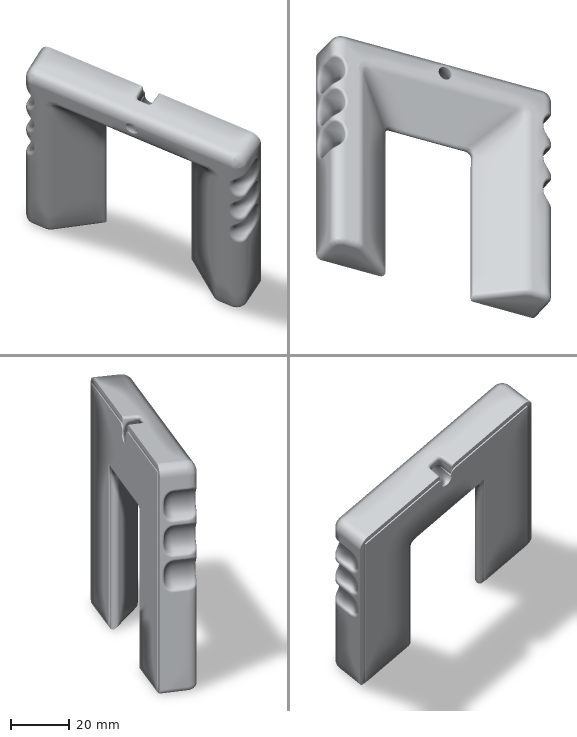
import cadquery as cq
import math

WIDTH = 85.0
HEIGHT = 85.0
TOTAL_DEPTH = 14.5
PAD_THICKNESS = 0.4
DEPTH = TOTAL_DEPTH - PAD_THICKNESS
DRAFT = 0.4

OUTER_RADIUS = 4.0
VALLEY_RADIUS = 4.5
LEG_END_RADIUS = 1.95
BACK_RIM_RADIUS = 1.5

BEVEL_FRONT_INSET = 10.4
BEVEL_BACK_INSET = 28.9
BEVEL_TAPER = math.degrees(math.atan2(BEVEL_BACK_INSET - BEVEL_FRONT_INSET, DEPTH))

HOLE_DIAMETER = 4.9
HOLE_Z = HEIGHT - 5.6

SLOT_WIDTH = 5.95
SLOT_DEPTH = 5.5
SLOT_TAPER = 3.0
SLOT_FLOOR_RADIUS = 1.1
SLOT_RIM_RADIUS = 1.0
SLOT_OVERRUN = 8.5

GRIP_RADIUS = 5.8
GRIP_DEPTH = 4.25
GRIP_COUNT = 3
GRIP_PITCH = 13.0
TOP_GRIP_Z = HEIGHT - 15.0
GRIP_END_Y = 12.5
GRIP_END_RADIUS = 3.5
GRIP_RIM_RADIUS = 0.9

PAD_INSET = 2.4
PAD_BOTTOM = 0.6
PAD_OPENING_INSET = 23.8
PAD_MOUTH_RADIUS = 1.95

SIDES = (-1, 1)


def section(y):
    """Sketch plane at depth y, with local x and y along X and Z; positive extrusion goes toward the front."""
    return cq.Workplane("XZ", origin=(0, y, 0))


def rectangle(y, half_width, bottom, top):
    return section(y).center(0, (bottom + top) / 2).rect(2 * half_width, top - bottom)


def hole_tool():
    return section(TOTAL_DEPTH).center(0, HOLE_Z).circle(HOLE_DIAMETER / 2).extrude(TOTAL_DEPTH)



def outer_block():
    block = rectangle(DEPTH, WIDTH / 2, 0, HEIGHT).extrude(DEPTH, taper=DRAFT)
    return block.faces(">Z").edges("<X or >X").fillet(OUTER_RADIUS)


def cut_opening(block):
    half_width = WIDTH / 2 - BEVEL_FRONT_INSET
    top = HEIGHT - BEVEL_FRONT_INSET
    below_legs = -HEIGHT / 2
    opening = rectangle(0, half_width, below_legs, top).extrude(-DEPTH, taper=BEVEL_TAPER)
    return block.cut(opening)


def round_edges(frame):
    mid_inset = (BEVEL_FRONT_INSET + BEVEL_BACK_INSET) / 2
    for side in SIDES:
        mid_valley = (side * (WIDTH / 2 - mid_inset), DEPTH / 2, HEIGHT - mid_inset)
        valley = frame.edges(cq.selectors.NearestToPointSelector(mid_valley))
        frame = valley.fillet(VALLEY_RADIUS)
    frame = frame.faces("<Y").edges("not <Z").fillet(OUTER_RADIUS)
    return round_back_rim(frame).intersect(round_leg_ends(frame))


def round_back_rim(frame):
    reach = WIDTH / 2 - BEVEL_FRONT_INSET
    rim_box = cq.selectors.BoxSelector(
        (-reach, 0, BACK_RIM_RADIUS), (reach, TOTAL_DEPTH, HEIGHT - BEVEL_FRONT_INSET)
    )
    return frame.faces(">Y").edges(rim_box).fillet(BACK_RIM_RADIUS)


def round_leg_ends(frame):
    return frame.faces("<Z").edges("not >Y").fillet(LEG_END_RADIUS)


def grip_tool(side, z):
    axis_x = side * (WIDTH / 2 - GRIP_DEPTH + GRIP_RADIUS)
    tool = section(GRIP_END_Y).center(axis_x, z).circle(GRIP_RADIUS).extrude(TOTAL_DEPTH)
    return tool.faces(">Y").edges().fillet(GRIP_END_RADIUS)


def cut_grip(housing, side, z):
    housing = housing.cut(grip_tool(side, z))
    scoop_box = cq.selectors.BoxSelector(
        (side * (WIDTH / 2 - 2 * GRIP_DEPTH), 0, z - GRIP_RADIUS),
        (side * WIDTH / 2, DEPTH, z + GRIP_RADIUS),
    )
    rim = housing.faces(scoop_box).edges("(not %CIRCLE) or <Y")
    return rim.fillet(GRIP_RIM_RADIUS)


def cut_slot(housing):
    above_top = HEIGHT + SLOT_OVERRUN
    slot = rectangle(DEPTH, SLOT_WIDTH / 2, HOLE_Z, above_top).extrude(SLOT_DEPTH, taper=SLOT_TAPER)
    slot = slot.faces("<Y").edges("|Z").fillet(SLOT_FLOOR_RADIUS)
    housing = housing.cut(slot)
    rim_box = cq.selectors.BoxSelector(
        (-SLOT_WIDTH, DEPTH - 2 * SLOT_DEPTH, HOLE_Z), (SLOT_WIDTH, DEPTH - SLOT_RIM_RADIUS, above_top)
    )
    top = cq.selectors.NearestToPointSelector((0, DEPTH / 2, HEIGHT))
    return housing.faces(top).edges(rim_box).fillet(SLOT_RIM_RADIUS)


def build_housing():
    housing = round_edges(cut_opening(outer_block()))
    for side in SIDES:
        for index in range(GRIP_COUNT):
            housing = cut_grip(housing, side, TOP_GRIP_Z - index * GRIP_PITCH)
    return cut_slot(housing).cut(hole_tool())



def build_pad():
    pad = rectangle(TOTAL_DEPTH, WIDTH / 2 - PAD_INSET, PAD_BOTTOM, HEIGHT - PAD_INSET).extrude(PAD_THICKNESS)
    opening = rectangle(TOTAL_DEPTH, WIDTH / 2 - PAD_OPENING_INSET, 0, HEIGHT - PAD_OPENING_INSET)
    pad = pad.cut(opening.extrude(PAD_THICKNESS))
    notch = rectangle(TOTAL_DEPTH, HOLE_DIAMETER / 2, HOLE_Z, HEIGHT).extrude(PAD_THICKNESS)
    pad = pad.cut(notch)
    mouth_corners = pad.edges("|Y").edges(
        cq.selectors.BoxSelector(
            (-HOLE_DIAMETER, 0, HOLE_Z + PAD_MOUTH_RADIUS), (HOLE_DIAMETER, 2 * TOTAL_DEPTH, HEIGHT)
        )
    )
    return mouth_corners.fillet(PAD_MOUTH_RADIUS).cut(hole_tool())


housing = build_housing()
pad = build_pad()
result = cq.Compound.makeCompound([housing.val(), pad.val()])